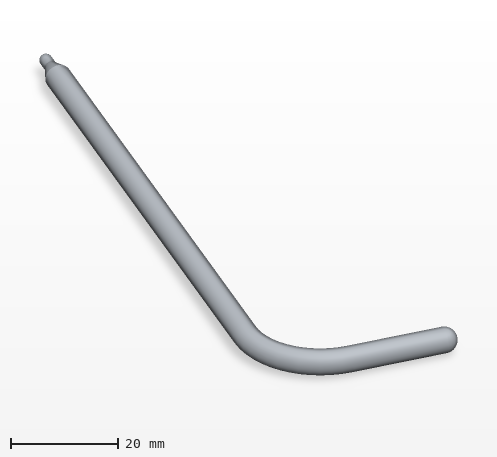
import cadquery as cq

length_x = 122.5
length_y = 39.0

rod_diameter = 5.0
bend_radius = 15.0

tip_diameter = 2.5
pin_end = 3.8
cone_end = 7.5

rod_radius = rod_diameter / 2
tip_radius = tip_diameter / 2
bend_start_x = length_x - rod_radius - bend_radius
dome_base_y = length_y - 2 * rod_radius


def make_long_leg():
    """Revolve the round tip, pin, cone and long straight rod about the X axis."""
    return (
        cq.Workplane("XY")
        .moveTo(0, 0)
        .radiusArc((tip_radius, tip_radius), tip_radius)
        .lineTo(pin_end, tip_radius)
        .lineTo(cone_end, rod_radius)
        .lineTo(bend_start_x, rod_radius)
        .lineTo(bend_start_x, 0)
        .close()
        .revolve(360, (0, 0, 0), (1, 0, 0))
    )


def make_bend():
    """Quarter turn from the X direction to the Y direction."""
    return (
        cq.Workplane("YZ", origin=(bend_start_x, 0, 0))
        .circle(rod_radius)
        .revolve(90, (bend_radius, 0, 0), (bend_radius, 1, 0))
    )


def make_short_leg():
    """Revolve the short straight rod and its domed end about its own axis."""
    return (
        cq.Workplane("XY", origin=(length_x - rod_radius, 0, 0))
        .moveTo(0, bend_radius)
        .lineTo(rod_radius, bend_radius)
        .lineTo(rod_radius, dome_base_y)
        .radiusArc((0, dome_base_y + rod_radius), -rod_radius)
        .close()
        .revolve(360, (0, 0, 0), (0, 1, 0))
    )


result = make_long_leg().union(make_bend()).union(make_short_leg())